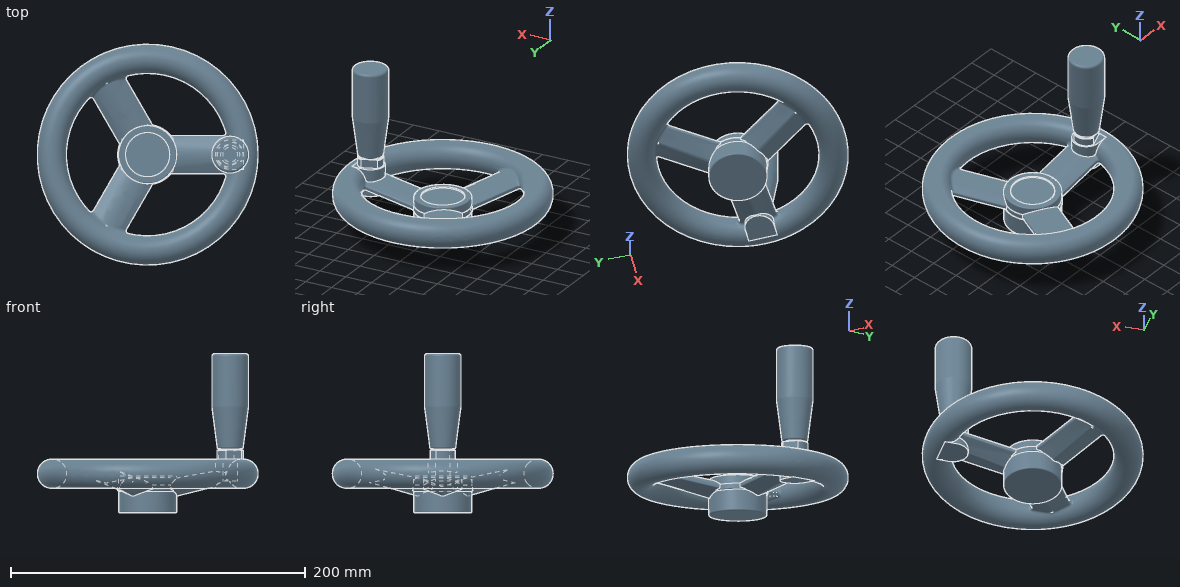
import cadquery as cq
import math

rim_outer_radius = 75.0
rim_tube_radius = 10.0
rim_radius = rim_outer_radius - rim_tube_radius
inner_rim_radius = rim_radius - rim_tube_radius
rim_bottom_z = 16.5
rim_center_z = rim_bottom_z + rim_tube_radius
rim_top_z = rim_center_z + rim_tube_radius

hub_diameter = 39.5
hub_height = 24.9
hub_edge_round = 0.8
recess_diameter = 30.0
recess_depth = 1.0

web_diameter = 40.8
web_bottom_z = 14.6
web_top_z = 18.8
web_edge_round = 0.8

spoke_count = 3
spoke_width = 26.0
spoke_root_radius = 10.0
spoke_tip_radius = 60.0
spoke_reference_radius = hub_diameter / 2
spoke_top_z = 23.6
spoke_bottom_z = 11.0
spoke_top_slope = 0.18
spoke_bottom_slope = 0.255
spoke_crown = 4.2
spoke_edge_thickness = 2.7
spoke_keel_round = 3.0
spoke_edge_round = 1.0
spoke_rim_fillet = 2.0
joint_search_inward = 2.0
joint_search_outward = 3.0

handle_x = 56.0
pad_radius = 10.0

grip_diameter = 25.0
grip_top_z = 108.1
grip_shoulder_z = 71.9
grip_bottom_z = 43.4
grip_bottom_diameter = 17.6
grip_top_round = 2.0
grip_bottom_round = 1.2
neck_diameter = 13.0
collar_diameter = 18.0
collar_top_z = 42.7
collar_edge_chamfer = 0.4
wrench_size = 14.0
wrench_flat_angle = -68.4
stud_diameter = 10.0
stud_length = 15.0


def make_rim():
    return cq.Workplane("XZ").center(rim_radius, rim_center_z).circle(rim_tube_radius).revolve(
        360, (-rim_radius, 0, 0), (-rim_radius, 1, 0)
    )


def make_hub():
    hub = cq.Workplane("XY").circle(hub_diameter / 2).extrude(hub_height)
    return hub.edges().fillet(hub_edge_round)


def make_web():
    web = cq.Workplane("XY", origin=(0, 0, web_bottom_z)).circle(web_diameter / 2)
    web = web.extrude(web_top_z - web_bottom_z)
    return web.edges().fillet(web_edge_round)


def spoke_section(radius):
    """Closed outline, arched on top and keeled below, across a spoke along +X."""
    run = radius - spoke_reference_radius
    crest_z = spoke_top_z + spoke_top_slope * run
    keel_z = spoke_bottom_z + spoke_bottom_slope * run
    upper_edge_z = crest_z - spoke_crown
    lower_edge_z = upper_edge_z - spoke_edge_thickness
    half_width = spoke_width / 2
    outline = cq.Workplane("YZ", origin=(radius, 0, 0)).moveTo(-half_width, lower_edge_z)
    outline = outline.lineTo(0, keel_z).lineTo(half_width, lower_edge_z)
    outline = outline.lineTo(half_width, upper_edge_z)
    outline = outline.threePointArc((0, crest_z), (-half_width, upper_edge_z)).close()
    return outline.val()


def keel_midpoint():
    radius = (spoke_root_radius + spoke_tip_radius) / 2
    return (radius, 0, spoke_bottom_z + spoke_bottom_slope * (radius - spoke_reference_radius))


def make_spoke():
    sections = [spoke_section(spoke_root_radius), spoke_section(spoke_tip_radius)]
    spoke = cq.Workplane("XY").add(cq.Solid.makeLoft(sections, True))
    spoke = spoke.edges(cq.selectors.NearestToPointSelector(keel_midpoint())).fillet(spoke_keel_round)
    return spoke.faces("<Y or >Y").edges("not(<X or >X)").fillet(spoke_edge_round)


def make_spokes():
    spoke = make_spoke()
    spokes = spoke
    for index in range(1, spoke_count):
        spokes = spokes.union(spoke.rotate((0, 0, 0), (0, 0, 1), 360 / spoke_count * index))
    return spokes


def make_pad():
    pad = cq.Workplane("XY", origin=(0, 0, rim_bottom_z)).moveTo(rim_radius, pad_radius)
    pad = pad.lineTo(handle_x, pad_radius)
    pad = pad.threePointArc((handle_x - pad_radius, 0), (handle_x, -pad_radius))
    pad = pad.lineTo(rim_radius, -pad_radius).close()
    return pad.extrude(rim_top_z - rim_bottom_z)


def make_stud():
    stud = cq.Workplane("XY", origin=(handle_x, 0, rim_top_z)).circle(stud_diameter / 2)
    return stud.extrude(-stud_length)


class RimJointSelector(cq.Selector):
    """Edges whose middle lies near the inside of the rim, where the spokes run into it."""

    def filter(self, edges):
        return [edge for edge in edges if self.is_rim_joint(edge)]

    def is_rim_joint(self, edge):
        middle = edge.positionAt(0.5)
        offset = math.hypot(middle.x, middle.y) - inner_rim_radius
        return -joint_search_inward < offset < joint_search_outward


def make_wheel():
    wheel = make_rim().union(make_spokes())
    wheel = wheel.edges(RimJointSelector()).fillet(spoke_rim_fillet)
    wheel = wheel.union(make_hub()).union(make_web()).union(make_pad())
    recess = cq.Workplane("XY", origin=(0, 0, hub_height)).circle(recess_diameter / 2)
    return wheel.cut(recess.extrude(-recess_depth)).cut(make_stud())


def make_grip():
    profile = cq.Workplane("XZ").moveTo(0, grip_bottom_z)
    profile = profile.lineTo(grip_bottom_diameter / 2, grip_bottom_z)
    profile = profile.lineTo(grip_diameter / 2, grip_shoulder_z)
    profile = profile.lineTo(grip_diameter / 2, grip_top_z).lineTo(0, grip_top_z).close()
    grip = profile.revolve(360, (0, 0, 0), (0, 1, 0))
    grip = grip.faces(">Z").edges().fillet(grip_top_round)
    grip = grip.faces("<Z").edges().fillet(grip_bottom_round)
    return grip.translate((handle_x, 0, 0))


def make_collar():
    height = collar_top_z - rim_top_z
    collar = cq.Workplane("XY").circle(collar_diameter / 2).extrude(height)
    collar = collar.faces(">Z").edges().chamfer(collar_edge_chamfer)
    flats = cq.Workplane("XY").rect(wrench_size, 2 * collar_diameter).extrude(height)
    flats = flats.rotate((0, 0, 0), (0, 0, 1), wrench_flat_angle)
    return collar.intersect(flats).translate((handle_x, 0, rim_top_z))


def make_handle():
    neck = cq.Workplane("XY", origin=(handle_x, 0, collar_top_z)).circle(neck_diameter / 2)
    neck = neck.extrude(grip_bottom_z - collar_top_z)
    return make_grip().union(neck).union(make_collar()).union(make_stud())


wheel = make_wheel()
handle = make_handle()

result = cq.Compound.makeCompound([wheel.val(), handle.val()])